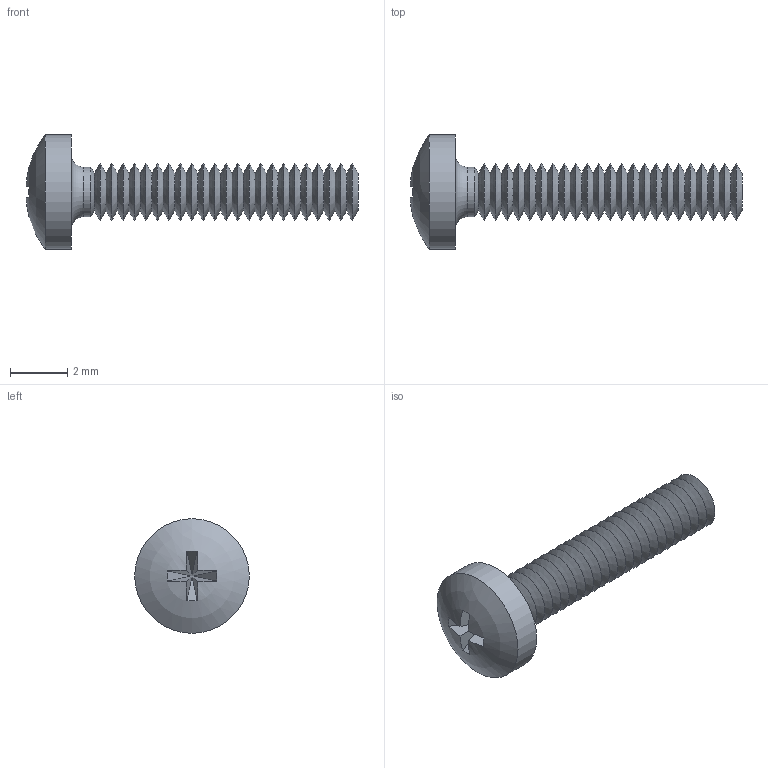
import cadquery as cq
import math


head_radius = 2.0
head_height = 1.6
rim_thickness = 0.92

shank_length = 10.0
crest_radius = 1.0
pitch = 0.4
flank_angle = 60.0
thread_depth = pitch / 2 * math.tan(math.radians(flank_angle))
root_radius = crest_radius - thread_depth
thread_start = 0.8
ridge_count = round((shank_length - thread_start) / pitch)

neck_radius = 0.865
neck_fillet_radius = 0.43
neck_end = thread_start - (neck_radius - root_radius) / math.tan(math.radians(flank_angle))

recess_span = 1.9
recess_arm_width = 0.4
recess_depth = 1.2


def make_head():
    """Domed disc, revolved about the X axis."""
    dome_height = head_height - rim_thickness
    dome_radius = (head_radius**2 + dome_height**2) / (2 * dome_height)
    mid_radius = head_radius / 2
    mid_drop = dome_radius - math.sqrt(dome_radius**2 - mid_radius**2)
    profile = (
        cq.Workplane("XZ")
        .moveTo(-head_height, 0)
        .threePointArc((-head_height + mid_drop, mid_radius), (-rim_thickness, head_radius))
        .lineTo(0, head_radius)
        .lineTo(0, 0)
        .close()
    )
    return profile.revolve(360, (0, 0, 0), (1, 0, 0))


def make_shank():
    """Filleted neck and ring-shaped thread ridges, revolved about the X axis."""
    fillet_center_radius = neck_radius + neck_fillet_radius
    fillet_reach = neck_fillet_radius * math.cos(math.radians(45))
    head_overlap = rim_thickness / 2
    profile = (
        cq.Workplane("XZ")
        .moveTo(-head_overlap, 0)
        .lineTo(-head_overlap, fillet_center_radius)
        .lineTo(0, fillet_center_radius)
        .threePointArc(
            (neck_fillet_radius - fillet_reach, fillet_center_radius - fillet_reach),
            (neck_fillet_radius, neck_radius),
        )
        .lineTo(neck_end, neck_radius)
        .lineTo(thread_start, root_radius)
    )
    for ridge in range(ridge_count):
        ridge_start = thread_start + ridge * pitch
        profile = profile.lineTo(ridge_start + pitch / 2, crest_radius)
        profile = profile.lineTo(ridge_start + pitch, root_radius)
    profile = profile.lineTo(shank_length, 0).close()
    return profile.revolve(360, (0, 0, 0), (1, 0, 0))


def make_recess_arm_pair(span_y, span_z):
    """Wedge with a rectangular mouth at the dome top, shrinking to a point on the axis."""
    mouth_corners = [
        cq.Vector(-head_height, side_y * span_y / 2, side_z * span_z / 2)
        for side_y, side_z in ((-1, -1), (1, -1), (1, 1), (-1, 1))
    ]
    apex = cq.Vector(recess_depth - head_height, 0, 0)
    faces = [cq.Face.makeFromWires(cq.Wire.makePolygon(mouth_corners, close=True))]
    for index, corner in enumerate(mouth_corners):
        triangle = [mouth_corners[index - 1], corner, apex]
        faces.append(cq.Face.makeFromWires(cq.Wire.makePolygon(triangle, close=True)))
    return cq.Workplane(cq.Solid.makeSolid(cq.Shell.makeShell(faces)))


blank = make_head().union(make_shank())
horizontal_arms = make_recess_arm_pair(recess_span, recess_arm_width)
vertical_arms = make_recess_arm_pair(recess_arm_width, recess_span)
result = blank.cut(horizontal_arms).cut(vertical_arms)